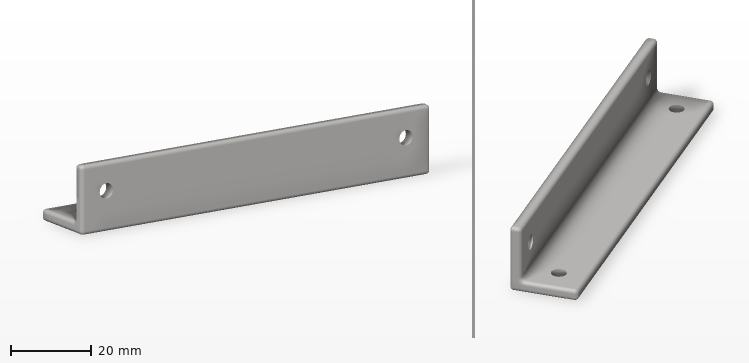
import cadquery as cq

length = 105.0
leg = 18.0
thickness = 3.0
edge_radius = 1.0
hole_diameter = 4.0
hole_edge_offset = 7.5
hole_end_offset = 7.5



def angle_bar():
    """Sharp-edged L-shaped bar, centred along Y."""
    floor_leg = cq.Workplane("XY").box(leg, length, thickness, centered=(False, True, False))
    wall_leg = cq.Workplane("XY").box(thickness, length, leg, centered=(False, True, False))
    return floor_leg.translate((-leg, 0, 0)).union(wall_leg.translate((-thickness, 0, 0)))


def mounting_holes(plane, across, along):
    """Pair of through-hole cutters, reaching past both faces of a leg."""
    centres = [(across, -along), (across, along)]
    return (
        cq.Workplane(plane)
        .pushPoints(centres)
        .circle(hole_diameter / 2)
        .extrude(thickness * 2, both=True)
    )


hole_along = length / 2 - hole_end_offset
hole_across = leg - hole_edge_offset

result = angle_bar().edges().fillet(edge_radius)
result = result.cut(mounting_holes("XY", -hole_across, hole_along))

result = result.cut(mounting_holes("ZY", hole_across, hole_along))